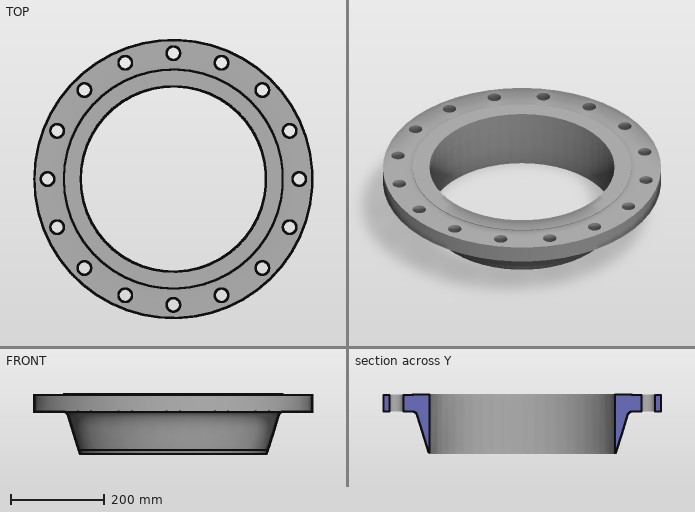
import cadquery as cq
import math

flange_diameter = 596.9
flange_thickness = 36.5
face_diameter = 469.9
face_height = 1.5875

overall_height = 128.59
hub_base_diameter = 457.2
hub_fillet_radius = 9.525
weld_end_diameter = 406.4
bevel_height = 8.3
land_height = 0.4
root_face_width = 1.5875
bore_diameter = 396.875

bolt_count = 16
bolt_circle_diameter = 539.75
bolt_hole_diameter = 28.575

face_level = overall_height - face_height
flange_underside = face_level - flange_thickness
taper_end = bevel_height + land_height


def neck_flange():
    """Revolved flange disc, raised face, tapered hub with filleted base, and bevelled weld end."""
    bore_radius = bore_diameter / 2
    weld_radius = weld_end_diameter / 2
    hub_base_radius = hub_base_diameter / 2

    taper_angle = math.atan2(hub_base_radius - weld_radius, flange_underside - taper_end)
    tangent_length = hub_fillet_radius * math.tan(math.pi / 4 - taper_angle / 2)
    taper_tangent = (
        hub_base_radius - tangent_length * math.sin(taper_angle),
        flange_underside - tangent_length * math.cos(taper_angle),
    )
    underside_tangent = (hub_base_radius + tangent_length, flange_underside)

    profile_plane = cq.Plane(origin=(0, 0, 0), xDir=(-1, 0, 0), normal=(0, 1, 0))
    return (
        cq.Workplane(profile_plane)
        .moveTo(bore_radius, 0)
        .lineTo(bore_radius + root_face_width, 0)
        .lineTo(weld_radius, bevel_height)
        .lineTo(weld_radius, taper_end)
        .lineTo(*taper_tangent)
        .radiusArc(underside_tangent, hub_fillet_radius)
        .lineTo(flange_diameter / 2, flange_underside)
        .lineTo(flange_diameter / 2, face_level)
        .lineTo(face_diameter / 2, face_level)
        .lineTo(face_diameter / 2, overall_height)
        .lineTo(bore_radius, overall_height)
        .close()
        .revolve(360, (0, 0, 0), (0, 1, 0))
    )


def drill_bolt_holes(body):
    """Drill the evenly spaced bolt holes through the flange disc."""
    holes = (
        cq.Workplane("XY", origin=(0, 0, flange_underside))
        .polarArray(bolt_circle_diameter / 2, 0, 360, bolt_count, rotate=False)
        .circle(bolt_hole_diameter / 2)
        .extrude(flange_thickness)
    )
    return body.cut(holes)


result = drill_bolt_holes(neck_flange())